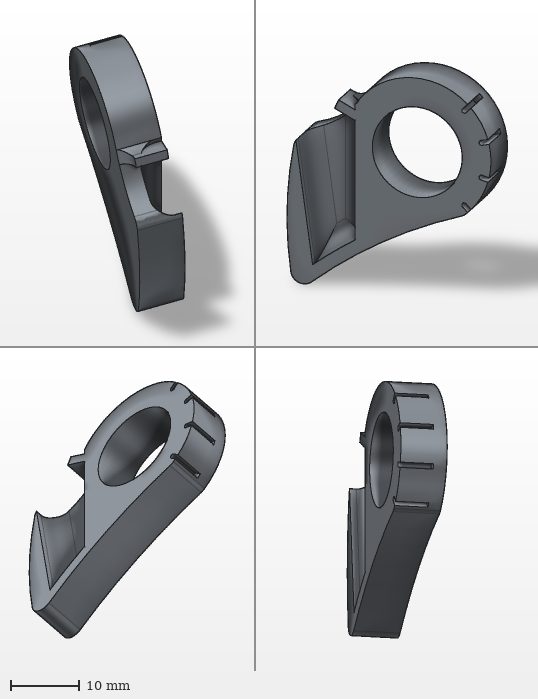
import math

import cadquery as cq

THICKNESS = 7.0
BORE_DIAMETER = 14.0
HUB_RADIUS = 11.5
RIGHT_REACH = 20.31
NECK_RADIUS = 14.0
NECK_ANGLE = 32.8
RIGHT_RADIUS = 60.0
RIGHT_CENTRE_Z = -12.5
BOTTOM_RADIUS = 75.7
BOTTOM_CENTRE = (-31.65, -80.61)
CORNER_RADIUS = 2.0

SLOT_ANGLES = (135.0, 165.0, 195.0, 225.0)
SLOT_WIDTH = 0.75
SLOT_DEPTH = 1.5
SLOT_START_Y = 2.0

POCKET_START_Y = 3.0
POCKET_FILLET = 3.0
POCKET_WALL = 2.0
POCKET_RIGHT_BOTTOM_X = 16.3
POCKET_RIGHT_TOP = (18.9, -0.5)
POCKET_OPEN_Z = 8.0

NIB_ANGLE = 25.2
NIB_WIDTH = 1.5
NIB_TIP_RADIUS = 13.9
NIB_ROOT_RADIUS = 10.0
NIB_FRONT_Y = 2.0
NIB_BLEND_RADIUS = 1.75


def polar(radius, angle):
    """Point in XZ at a radius and an angle in degrees from the bore axis."""
    return (radius * math.cos(math.radians(angle)), radius * math.sin(math.radians(angle)))


def on_circle(centre, radius, toward):
    """Point of a circle that lies in the direction of another point."""
    dx = toward[0] - centre[0]
    dz = toward[1] - centre[1]
    length = math.hypot(dx, dz)
    return (centre[0] + radius * dx / length, centre[1] + radius * dz / length)


def midpoint(a, b):
    return ((a[0] + b[0]) / 2, (a[1] + b[1]) / 2)


def circle_crossing(centre_a, radius_a, centre_b, radius_b):
    """Crossing of two circles on the left-hand side when looking from centre a to centre b."""
    dx = centre_b[0] - centre_a[0]
    dz = centre_b[1] - centre_a[1]
    distance = math.hypot(dx, dz)
    along = (radius_a**2 - radius_b**2 + distance**2) / (2 * distance)
    across = math.sqrt(radius_a**2 - along**2)
    x = centre_a[0] + (along * dx - across * dz) / distance
    z = centre_a[1] + (along * dz + across * dx) / distance
    return (x, z)


def plate_sketch(start_y=0.0):
    """Sketch plane parallel to XZ whose extrusions run toward +Y."""
    plane = cq.Plane(origin=(0, start_y, 0), xDir=(1, 0, 0), normal=(0, -1, 0))
    return cq.Workplane(plane)


BORE_AXIS = (0.0, 0.0)
NECK_CENTRE = polar(HUB_RADIUS + NECK_RADIUS, NECK_ANGLE)
NECK_START = polar(HUB_RADIUS, NECK_ANGLE)
RIGHT_CENTRE = (RIGHT_REACH - RIGHT_RADIUS, RIGHT_CENTRE_Z)


def make_plate():
    shoulder = circle_crossing(NECK_CENTRE, NECK_RADIUS, RIGHT_CENTRE, RIGHT_RADIUS)
    foot = circle_crossing(RIGHT_CENTRE, RIGHT_RADIUS, BOTTOM_CENTRE, BOTTOM_RADIUS)
    heel = circle_crossing(BOTTOM_CENTRE, BOTTOM_RADIUS, BORE_AXIS, HUB_RADIUS)
    neck_middle = on_circle(NECK_CENTRE, NECK_RADIUS, midpoint(NECK_START, shoulder))
    right_middle = on_circle(RIGHT_CENTRE, RIGHT_RADIUS, midpoint(shoulder, foot))
    bottom_middle = on_circle(BOTTOM_CENTRE, BOTTOM_RADIUS, midpoint(foot, heel))
    hub_top = (0.0, HUB_RADIUS)
    plate = (
        plate_sketch()
        .moveTo(*NECK_START)
        .threePointArc(neck_middle, shoulder)
        .threePointArc(right_middle, foot)
        .threePointArc(bottom_middle, heel)
        .threePointArc(hub_top, NECK_START)
        .close()
        .extrude(-THICKNESS)
    )
    for corner in (shoulder, foot, heel):
        corner_edge = cq.selectors.NearestToPointSelector((corner[0], THICKNESS / 2, corner[1]))
        plate = plate.edges(corner_edge).fillet(CORNER_RADIUS)
    bore = plate_sketch().circle(BORE_DIAMETER / 2).extrude(-THICKNESS)
    return plate.cut(bore)


def make_slot(angle):
    """Radial slot with a round bottom, open at the back face and at the hub rim."""
    half_width = SLOT_WIDTH / 2
    bottom = HUB_RADIUS - SLOT_DEPTH
    outside = HUB_RADIUS + SLOT_DEPTH
    slot = (
        plate_sketch(SLOT_START_Y)
        .moveTo(outside, -half_width)
        .lineTo(outside, half_width)
        .lineTo(bottom + half_width, half_width)
        .threePointArc((bottom, 0), (bottom + half_width, -half_width))
        .close()
        .extrude(SLOT_START_Y - THICKNESS)
    )
    return slot.rotate((0, 0, 0), (0, 1, 0), -angle)


def make_pocket():
    """Pocket with rounded floor edges between a flat hub wall, a bottom wall and a right wall."""
    floor_radius = BOTTOM_RADIUS + POCKET_WALL

    def floor_point(x):
        return (x, BOTTOM_CENTRE[1] + math.sqrt(floor_radius**2 - (x - BOTTOM_CENTRE[0])**2))

    left_x = NECK_START[0]
    left_bottom = floor_point(left_x)
    right_bottom = floor_point(POCKET_RIGHT_BOTTOM_X)
    floor_middle = floor_point((left_x + POCKET_RIGHT_BOTTOM_X) / 2)
    lean = (POCKET_RIGHT_TOP[0] - right_bottom[0]) / (POCKET_RIGHT_TOP[1] - right_bottom[1])
    right_open_x = POCKET_RIGHT_TOP[0] + lean * (POCKET_OPEN_Z - POCKET_RIGHT_TOP[1])
    pocket = (
        plate_sketch(POCKET_START_Y)
        .moveTo(left_x, POCKET_OPEN_Z)
        .lineTo(*left_bottom)
        .threePointArc(floor_middle, right_bottom)
        .lineTo(right_open_x, POCKET_OPEN_Z)
        .close()
        .extrude(POCKET_START_Y - THICKNESS - POCKET_FILLET)
    )
    return pocket.faces("<Y").edges("not >Z").fillet(POCKET_FILLET)


def make_nib_bar():
    bar_length = NIB_TIP_RADIUS - NIB_ROOT_RADIUS
    bar = (
        plate_sketch()
        .center((NIB_TIP_RADIUS + NIB_ROOT_RADIUS) / 2, 0)
        .rect(bar_length, NIB_WIDTH)
        .extrude(-THICKNESS)
    )
    return bar.rotate((0, 0, 0), (0, 1, 0), -NIB_ANGLE)


def make_nib_blend():
    """Concave wedge from the hub / neck tangent point to a tangent end on the nib's upper face."""
    hub_end = polar(HUB_RADIUS, NECK_ANGLE - NIB_ANGLE)
    rise = hub_end[1] - NIB_WIDTH / 2
    along = hub_end[0] + math.sqrt(2 * NIB_BLEND_RADIUS * rise - rise**2)
    nib_end = (along, NIB_WIDTH / 2)
    centre = (along, NIB_WIDTH / 2 + NIB_BLEND_RADIUS)
    arc_middle = on_circle(centre, NIB_BLEND_RADIUS, midpoint(hub_end, nib_end))
    wedge = (
        plate_sketch()
        .moveTo(*hub_end)
        .threePointArc(arc_middle, nib_end)
        .lineTo(along, 0)
        .lineTo(NIB_ROOT_RADIUS, 0)
        .close()
        .extrude(-THICKNESS)
    )
    return wedge.rotate((0, 0, 0), (0, 1, 0), -NIB_ANGLE)


def make_nib_front_cut():
    """Space in front of the nib: its foot sweeps concavely from the neck surface to the nib's end."""
    round_centre = NECK_RADIUS - NIB_FRONT_Y
    diagonal = NIB_FRONT_Y * math.sqrt(0.5)
    return (
        cq.Workplane("XY", origin=(NECK_CENTRE[0], 0, NECK_CENTRE[1]))
        .lineTo(NECK_RADIUS, 0)
        .threePointArc((round_centre + diagonal, diagonal), (round_centre, NIB_FRONT_Y))
        .lineTo(0, NIB_FRONT_Y)
        .close()
        .revolve(360, (0, 0, 0), (0, 1, 0))
    )


plate = make_plate()
front_cut = make_nib_front_cut()
result = plate.union(make_nib_blend().cut(front_cut)).cut(make_pocket())
result = result.union(make_nib_bar().cut(front_cut))
for slot_angle in SLOT_ANGLES:
    result = result.cut(make_slot(slot_angle))